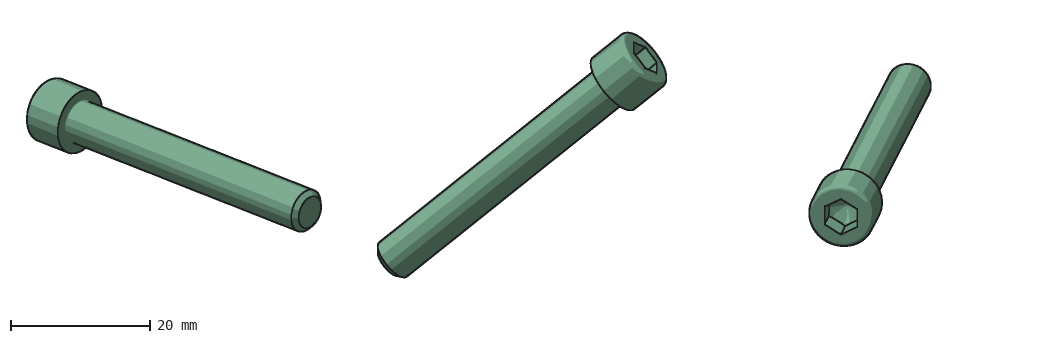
import cadquery as cq
import math

total_length = 50.8
head_diameter = 9.55
shank_diameter = 6.35
head_length = shank_diameter
head_edge_fillet = 0.65
tip_chamfer = 0.75
neck_fillet = 0.2

socket_flats = 4.8
socket_depth = 3.15
socket_cone_angle = 120.0

socket_corner_diameter = socket_flats / math.cos(math.pi / 6)


def disc_face(x):
    """Workplane across the screw axis at the given X, facing +X."""
    return cq.Workplane("YZ", origin=(x, 0, 0))


def make_head():
    head = disc_face(0).circle(head_diameter / 2).extrude(head_length)
    return head.faces("<X").edges().fillet(head_edge_fillet)


def make_shank():
    shank = disc_face(head_length).circle(shank_diameter / 2).extrude(total_length - head_length)
    return shank.faces(">X").edges().chamfer(tip_chamfer)


def round_neck(screw):
    """Fillet the corner where the shank meets the underside of the head."""
    neck_reach = shank_diameter / 2 + neck_fillet
    corner = cq.selectors.BoxSelector(
        (head_length - neck_fillet, -neck_reach, -neck_reach),
        (head_length + neck_fillet, neck_reach, neck_reach),
        boundingbox=True,
    )
    return screw.edges(corner).fillet(neck_fillet)


def make_socket():
    """Hexagonal recess with two corners on Z and a conical bottom reaching the hexagon corners."""
    corner_radius = socket_corner_diameter / 2
    cone_height = corner_radius / math.tan(math.radians(socket_cone_angle / 2))
    hexagon = (
        disc_face(0)
        .transformed(rotate=(0, 0, 90))
        .polygon(6, socket_corner_diameter)
        .extrude(socket_depth + cone_height)
    )
    pointed_drill = (
        cq.Workplane("XY")
        .lineTo(0, corner_radius)
        .lineTo(socket_depth, corner_radius)
        .lineTo(socket_depth + cone_height, 0)
        .close()
        .revolve(360, (0, 0, 0), (1, 0, 0))
    )
    return hexagon.intersect(pointed_drill)


screw = make_head().union(make_shank())
result = round_neck(screw).cut(make_socket())